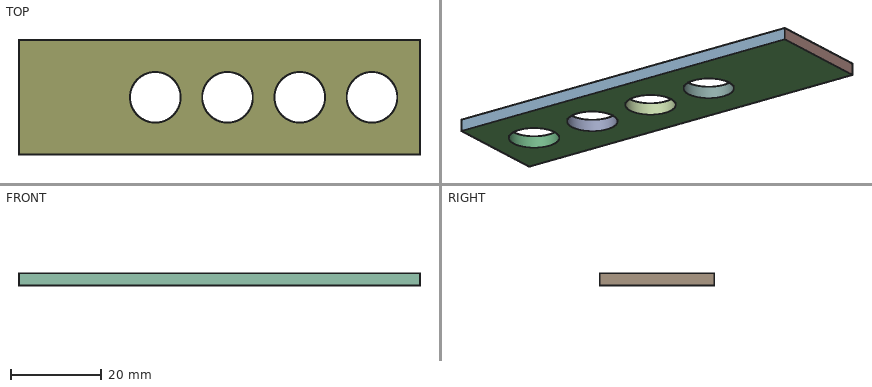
import cadquery as cq

length = 88.9
width = 25.4
thickness = 2.75

hole_diameter = 11.18
hole_count = 4
hole_pitch = 16.0
end_margin = 10.67

last_hole_x = length / 2 - end_margin
hole_centres = [(last_hole_x - i * hole_pitch, 0) for i in range(hole_count)]


def make_plate():
    return cq.Workplane("XY").box(length, width, thickness)


def cut_holes(plate):
    return plate.faces(">Z").workplane().pushPoints(hole_centres).hole(hole_diameter)


result = cut_holes(make_plate())